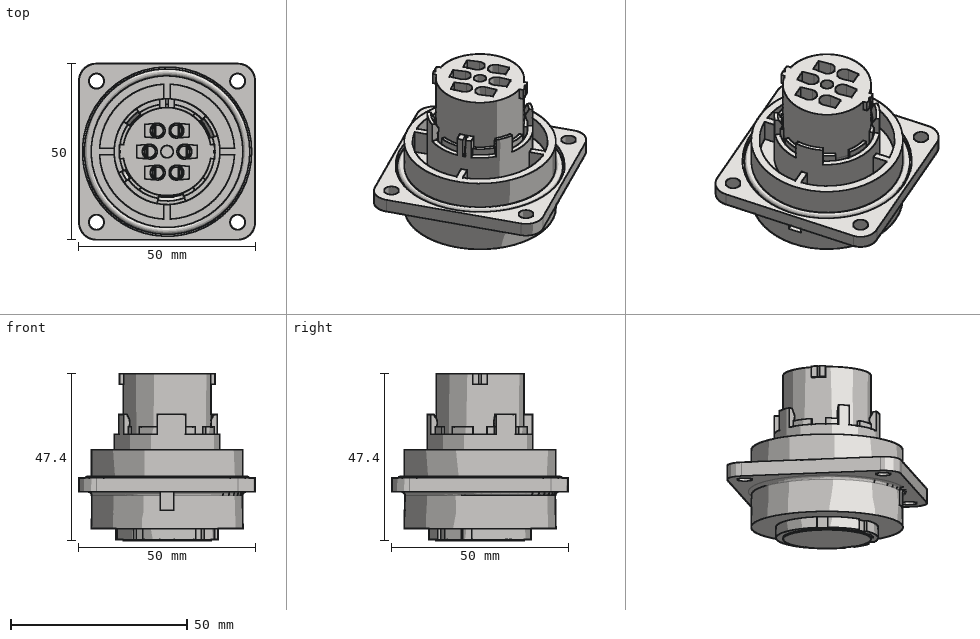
import cadquery as cq
import math

total_height = 47.4
plug_bottom = 0.35
body_bottom = 3.45
flange_bottom = 13.85
flange_top = flange_bottom + 4
cavity_floor = flange_top + 1.25
ring_top = 25.85
collar_top = 30.25
step_top = collar_top + 2
finger_top = 35.85

flange_size = 50
corner_radius = 5
bolt_spacing = 40
bolt_diameter = 4.2

body_radius = 21.55
body_neck_radius = 21.4
neck_fillet = 1
ring_radius = 21.5
cavity_radius = 19.15
collar_radius = 15
plug_radius = 14.5
step_radius = 13.5
core_radius = 12.5
rib_width = 1.8
body_slot_width = 3.8
body_slot_bottom = 8.65

groove_radius = 24
groove_floor = 16.35
seal_tube_radius = 1
seal_radius = 22.45
seal_height = 17.25

finger_angles = [(17.6, 42.5), (125.6, 145.2), (203.6, 215.5), (259.2, 290.7)]
finger_inner_radius = step_radius - 0.25
hook_radius = 12.9
hook_top_radius = 14
hook_underside = step_top + 1
hook_nose_top = hook_underside + 0.75
release_slot_radius = hook_radius + 0.15
release_slot_angles = [(36, 42.5), (260.8, 279.2)]

step_angles = [(9, 36), (54, 126), (144, 171), (189, 216), (234, 306), (324, 351)]
pocket_angles = [(-9, 9), (36, 54), (126, 144), (171, 189), (216, 234), (306, 324)]
pocket_floor = ring_top
notch_span = 12
side_notch_start = 179.2
side_notch_floor = 14.15
front_notch_starts = [229.6, 304.3, 338.6]
front_notch_floor = 13.5

key_width = 4
key_radius = 13.6
key_bottom = 44.3
key_groove_width = 0.6
key_groove_depth = 0.4
block_width = 4.2
block_slit = 0.7

contact_centers = [(2.65, 5.95), (4.9, 0), (2.65, -5.95)]
opening_depth = 6
opening_radius = 2.1
opening_length = 3.65
opening_end_width = 3.55
funnel_depth = 0.5
socket_radius = 1.6
socket_depth = 1.5
ridge_start, ridge_crest, ridge_end = 0.5, 1, 1.5
ridge_height = 0.75
center_hole_diameter = 3.5


def cylinder(radius, bottom, top):
    return cq.Workplane("XY").workplane(offset=bottom).circle(radius).extrude(top - bottom)


def sector(profile, start, end):
    """Sweep an (r, z) profile about Z from the start angle to the end angle."""
    swept = cq.Workplane("XZ").polyline(profile).close().revolve(end - start, (0, 0), (0, 1))
    return swept.rotate((0, 0, 0), (0, 0, 1), start)


def ring_sector(inner, outer, bottom, top, start, end):
    profile = [(inner, bottom), (outer, bottom), (outer, top), (inner, top)]
    return sector(profile, start, end)


def block(x_range, y_range, z_range):
    sizes = [high - low for low, high in (x_range, y_range, z_range)]
    corner = (x_range[0], y_range[0], z_range[0])
    return cq.Workplane("XY").box(*sizes, centered=False).translate(corner)


def make_flange():
    flange = cq.Workplane("XY").workplane(offset=flange_bottom).rect(flange_size, flange_size)
    flange = flange.extrude(flange_top - flange_bottom).edges("|Z").fillet(corner_radius)
    holes = flange.faces(">Z").workplane().rect(bolt_spacing, bolt_spacing, forConstruction=True)
    return holes.vertices().hole(bolt_diameter)


def make_lower_body():
    """Slightly tapered body that flares into the flange with a concave fillet."""
    neck = flange_bottom - neck_fillet
    flare_radius = body_neck_radius + neck_fillet
    bend = neck_fillet * math.sqrt(0.5)
    return (
        cq.Workplane("XZ")
        .moveTo(0, body_bottom)
        .lineTo(body_radius, body_bottom)
        .lineTo(body_neck_radius, neck)
        .threePointArc((flare_radius - bend, neck + bend), (flare_radius, flange_bottom))
        .lineTo(0, flange_bottom)
        .close()
        .revolve(360, (0, 0), (0, 1))
    )


def body_slot():
    half = body_slot_width / 2
    slot = block((-half, half), (-flange_size / 2, 0), (body_slot_bottom, flange_bottom))
    return slot.cut(cylinder(cavity_radius, body_slot_bottom, flange_bottom))


def make_ribs():
    length = cavity_radius + ring_radius
    along_x = cq.Workplane("XY").workplane(offset=cavity_floor).rect(length, rib_width)
    along_x = along_x.extrude(ring_top - cavity_floor)
    return along_x.union(along_x.rotate((0, 0, 0), (0, 0, 1), 90))


def make_seal():
    tube = cq.Workplane("XZ").center(seal_radius, seal_height).circle(seal_tube_radius)
    return tube.revolve(360, (-seal_radius, 0), (-seal_radius, 1))


def make_plug():
    plug = cylinder(plug_radius, plug_bottom, body_bottom)
    notches = [(side_notch_start, side_notch_floor)]
    notches += [(start, front_notch_floor) for start in front_notch_starts]
    for start, floor in notches:
        notch = ring_sector(floor, collar_radius, plug_bottom, body_bottom, start, start + notch_span)
        plug = plug.cut(notch)
    return plug


def make_collar():
    """Collar whose upper wall, with its inward snap hook, is cut away between the fingers."""
    profile = [
        (0, cavity_floor),
        (collar_radius, cavity_floor),
        (collar_radius, finger_top),
        (hook_top_radius, finger_top),
        (hook_radius, hook_nose_top),
        (hook_radius, hook_underside),
        (finger_inner_radius, step_top),
        (finger_inner_radius, collar_top),
        (0, collar_top),
    ]
    collar = sector(profile, 0, 360)
    for number, (start, _) in enumerate(finger_angles):
        previous_end = finger_angles[number - 1][1]
        gap_start = previous_end if number else previous_end - 360
        gap = ring_sector(core_radius, collar_radius, collar_top, finger_top, gap_start, start)
        collar = collar.cut(gap)
    return collar


def entry_pocket(start, end):
    """Pocket in the collar below the gap between two step segments."""
    return ring_sector(core_radius, step_radius, pocket_floor, collar_top, start, end)


def make_core_keys():
    """Pair of keys at the top of the core, each split by a shallow groove."""
    half = key_width / 2
    key_band = cylinder(key_radius, key_bottom, total_height)
    keys = key_band.intersect(
        block((-key_radius, key_radius), (-half, half), (key_bottom, total_height))
    )
    groove_half = key_groove_width / 2
    groove_start = key_radius - key_groove_depth
    for x_range in [(-collar_radius, -groove_start), (groove_start, collar_radius)]:
        keys = keys.cut(block(x_range, (-groove_half, groove_half), (key_bottom, total_height)))
    return keys


def make_collar_block():
    half = block_width / 2
    z_range = (collar_top, finger_top)
    body = block((-half, half), (0, collar_radius), z_range)
    body = body.intersect(cylinder(collar_radius, *z_range))
    slit = block((-block_slit / 2, block_slit / 2), (core_radius, collar_radius), z_range)
    return body.cut(slit)


def contact_opening():
    """Cutter for one opening whose tapered end points to +X, centred on the socket axis."""
    floor = total_height - opening_depth
    funnel_bottom = floor - funnel_depth
    half_end = opening_end_width / 2
    reach = math.hypot(opening_length, half_end)
    tangent_angle = math.atan2(half_end, opening_length) + math.acos(opening_radius / reach)
    tangent_x = opening_radius * math.cos(tangent_angle)
    tangent_y = opening_radius * math.sin(tangent_angle)
    cutter = (
        cq.Workplane("XY")
        .workplane(offset=floor)
        .moveTo(tangent_x, tangent_y)
        .threePointArc((-opening_radius, 0), (tangent_x, -tangent_y))
        .lineTo(opening_length, -half_end)
        .lineTo(opening_length, half_end)
        .close()
        .extrude(opening_depth)
    )
    funnel_profile = [
        (0, floor),
        (opening_radius, floor),
        (socket_radius, funnel_bottom),
        (0, funnel_bottom),
    ]
    socket_floor = funnel_bottom - socket_depth
    ridge = (
        cq.Workplane("XZ", origin=(0, socket_radius, socket_floor))
        .polyline([(ridge_start, 0), (ridge_end, 0), (ridge_crest, ridge_height)])
        .close()
        .extrude(2 * socket_radius)
    )
    socket = cylinder(socket_radius, socket_floor, funnel_bottom).cut(ridge)
    return cutter.union(sector(funnel_profile, 0, 360)).union(socket)


result = make_flange()
groove = cylinder(groove_radius, groove_floor, flange_top)
result = result.cut(groove.cut(cylinder(ring_radius, groove_floor, flange_top)))
result = result.union(make_lower_body()).cut(body_slot())
result = result.union(make_plug()).union(make_seal())

upper_ring = cylinder(ring_radius, flange_top, ring_top)
upper_ring = upper_ring.cut(cylinder(cavity_radius, cavity_floor, ring_top))
result = result.union(upper_ring).union(make_ribs())
result = result.union(make_collar())

result = result.union(cylinder(core_radius, 0, total_height))
for start, end in step_angles:
    result = result.union(ring_sector(core_radius, step_radius, collar_top, step_top, start, end))
for start, end in pocket_angles:
    result = result.cut(entry_pocket(start, end))
result = result.union(make_core_keys()).union(make_collar_block())

for start, end in release_slot_angles:
    slot = ring_sector(core_radius, release_slot_radius, 0, step_top, start, end)
    result = result.cut(slot)

opening = contact_opening()
for x, y in contact_centers:
    result = result.cut(opening.translate((x, y, 0)))
    result = result.cut(opening.rotate((0, 0, 0), (0, 0, 1), 180).translate((-x, y, 0)))
center_hole = cylinder(center_hole_diameter / 2, total_height - opening_depth, total_height)
result = result.cut(center_hole).clean()